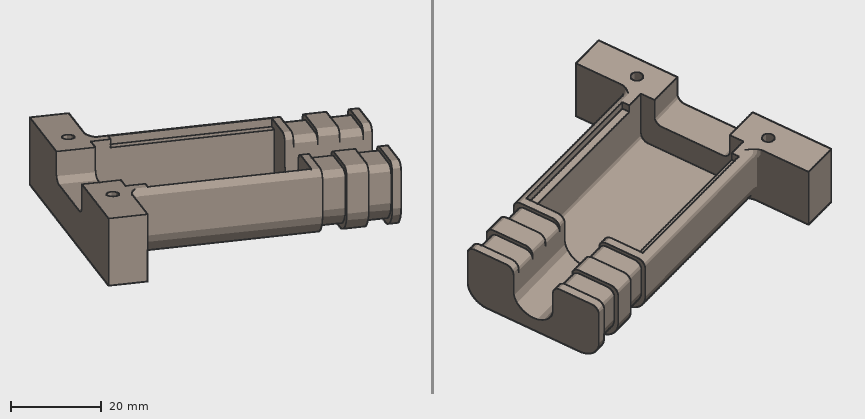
import cadquery as cq

flange_width = 62.0
length = 71
height = 16.0
flange_depth = 8.95

body_width = 35.0
edge_radius = 2.0
lower_edge_radius = 5.25
root_radius = 2.0

groove_depth = 1.0
groove_spans = [(2.05, 7.45), (12.5, 18.0)]

neck_length = 20.0
trough_width = 10.5
trough_floor = 3.7

pocket_width = 27.25
pocket_floor = 2.0
rim_width = body_width - 2 * edge_radius
rim_depth = 2.0
rim_gap = 4.55

slot_width = 20.0
slot_floor = 8.9

hole_diameter = 2.8
hole_spacing = body_width
hole_y = 4.9

neck_start = length - neck_length


def block(width, y_start, y_end, z_start, z_end):
    """Box centred on X between the given Y and Z limits."""
    return cq.Workplane("XY").box(
        width, y_end - y_start, z_end - z_start, centered=(True, False, False)
    ).translate((0, y_start, z_start))


def body_section(inset, y_start, y_end):
    """Rounded bar with its four sides moved inward by inset."""
    bar = block(body_width - 2 * inset, y_start, y_end, inset, height - inset)
    bar = bar.edges("|Y and >Z").fillet(edge_radius)
    return bar.edges("|Y and <Z").fillet(lower_edge_radius)


def round_bottom_cutter(width, y_start, y_end, floor, radius):
    """Cutter open at the top, with rounded lower corners."""
    cutter = block(width, y_start, y_end, floor, height + 0.7)
    return cutter.edges("|Y and <Z").fillet(radius)


def flanged_body():
    """Bar on an oversized flange, root fillet all round, trimmed to the true flange."""
    oversize = 2 * root_radius
    flange = block(flange_width, 0, flange_depth, -oversize, height + oversize)
    blank = flange.union(body_section(0, flange_depth, length))
    root = cq.selectors.BoxSelector(
        (-body_width / 2 - 0.7, flange_depth - 0.1, -0.7),
        (body_width / 2 + 0.7, flange_depth + 0.1, height + 0.7),
    )
    blank = blank.edges(root).fillet(root_radius)
    return blank.intersect(block(flange_width, 0, length, 0, height))


def neck_trough(y_start, y_end, top):
    """Semicircular trough whose upper edges are rounded outward to meet the given top."""
    half = trough_width / 2
    mouth = half + edge_radius
    arc_z = trough_floor + half
    lip_z = top - edge_radius
    diagonal = edge_radius * 0.5 ** 0.5
    return (
        cq.Workplane("XZ", origin=(0, y_start, 0))
        .moveTo(-half, arc_z)
        .threePointArc((0, trough_floor), (half, arc_z))
        .lineTo(half, lip_z)
        .threePointArc((mouth - diagonal, lip_z + diagonal), (mouth, top))
        .lineTo(mouth, height + 0.7)
        .lineTo(-mouth, height + 0.7)
        .lineTo(-mouth, top)
        .threePointArc((-mouth + diagonal, lip_z + diagonal), (-half, lip_z))
        .close()
        .extrude(y_start - y_end)
    )


result = flanged_body()

result = result.cut(
    round_bottom_cutter(pocket_width, flange_depth, neck_start, pocket_floor, edge_radius)
)
result = result.cut(
    block(rim_width, flange_depth + rim_gap, neck_start, height - rim_depth, height + 0.7)
)
result = result.cut(round_bottom_cutter(slot_width, -0.7, flange_depth, slot_floor, edge_radius))

result = result.cut(neck_trough(neck_start, length, height))
for near_end, far_end in groove_spans:
    y_start = length - far_end
    y_end = length - near_end
    core = body_section(groove_depth, y_start, y_end)
    core = core.cut(neck_trough(y_start, y_end, height - groove_depth))
    result = result.cut(block(flange_width, y_start, y_end, -0.7, height + 0.7)).union(core)

result = result.cut(
    cq.Workplane("XY")
    .pushPoints([(side * hole_spacing / 2, hole_y) for side in (-1, 1)])
    .circle(hole_diameter / 2)
    .extrude(height)
)

result = result.translate((0, -length / 2, -height / 2))